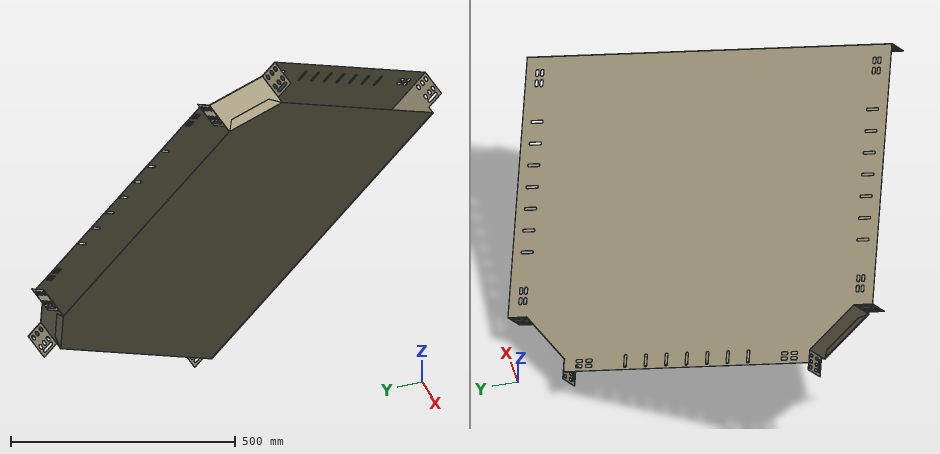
import cadquery as cq
import math

sheet = 1.0
tray_width = 601.0
flare = 100.0
tee_height = 82.0
tab_length = 45.0
tab_height = 65.0
branch_overhang = 30.0
lip_height = 24.0
lip_end_inset = 21.0

long_slot_count = 7
long_slot_pitch = tray_width / 12
long_slot_size = (30.0, 6.4)
long_slot_from_end = 36.0
short_slot_size = (16.0, 7.4)
short_slot_rows = (28.0, 40.0)
short_slots_from_side = (38.0, 61.0)

tab_hole_columns = (9.0, 22.0, 36.0)
tab_hole_rows = (-13.0, -42.0)
tab_hole_size = (12.0, 7.0)
tab_slot_size = (30.0, 7.4)
tab_slot_center = (23.0, -55.0)

roll = -21.74
pitch = -27.03
yaw = -18.54

half_width = tray_width / 2
wall_end_y = half_width + flare
tab_end_y = wall_end_y + tab_length
side_x = -tray_width
wall_end_x = side_x - flare
tab_end_x = wall_end_x - tab_length
mitre = sheet * math.sqrt(2)
wall_bottom = sheet - tee_height
cut_depth = 3 * sheet


def with_mirror(half):
    """Join a shape to its mirror image across the middle of the branch."""
    return half.union(half.mirror("XZ"))


def panel(points, top, bottom):
    """Flat-topped solid over an outline in the XY plane."""
    return cq.Workplane("XY").workplane(offset=bottom).polyline(points).close().extrude(top - bottom)


def floor_plate():
    """Floor with 45 degree flares; the branch end is trimmed shorter than its tabs."""
    floor_end_x = wall_end_x - branch_overhang
    side = [
        (0, -tab_end_y),
        (side_x, -tab_end_y),
        (side_x, -wall_end_y),
        (wall_end_x, -half_width),
        (floor_end_x, -half_width),
    ]
    other_side = [(x, -y) for x, y in reversed(side)]
    return panel(side + other_side, 0, -sheet)


def opening_slots():
    """Joint slots of one opening, whose free end lies on the X axis with the tray at +Y."""
    long_row = [
        ((i - (long_slot_count - 1) / 2) * long_slot_pitch, long_slot_from_end)
        for i in range(long_slot_count)
    ]
    short_grid = [
        (sign * (half_width - inset), row)
        for sign in (-1, 1)
        for inset in short_slots_from_side
        for row in short_slot_rows
    ]
    plane = cq.Workplane("XY").workplane(offset=-cut_depth / 2)
    long_slots = plane.pushPoints(long_row).slot2D(*long_slot_size, 90).extrude(cut_depth)
    short_slots = plane.pushPoints(short_grid).slot2D(*short_slot_size).extrude(cut_depth)
    return long_slots.add(short_slots).combine()


def joint_tab(corner, inward):
    """Drilled tab hanging from a free top corner, running inward to its wall end."""
    normal = cq.Vector(*inward).cross(cq.Vector(0, 0, 1))
    face = cq.Workplane(cq.Plane(origin=corner, xDir=inward, normal=normal))
    tab = face.rect(tab_length, -tab_height, centered=False).extrude(-sheet)
    upright = [(column, row) for column in tab_hole_columns for row in tab_hole_rows]
    holes = face.pushPoints(upright).slot2D(*tab_hole_size, 90).extrude(-sheet)
    slot = face.center(*tab_slot_center).slot2D(*tab_slot_size).extrude(-sheet)
    return tab.cut(holes).cut(slot)


def make_tray():
    back_wall = panel(
        [(0, -wall_end_y), (0, wall_end_y), (-sheet, wall_end_y), (-sheet, -wall_end_y)], 0, wall_bottom
    )
    flare_wall = panel(
        [
            (side_x, -wall_end_y),
            (wall_end_x, -half_width),
            (wall_end_x, -half_width + mitre),
            (side_x + mitre, -wall_end_y),
        ],
        0,
        wall_bottom,
    )
    back_tab = joint_tab((0, -tab_end_y, 0), (0, 1, 0))
    side_tab = joint_tab((side_x + sheet, -tab_end_y, 0), (0, 1, 0))
    branch_tab = joint_tab((tab_end_x, -half_width, 0), (1, 0, 0))
    half_sides = flare_wall.union(back_tab).union(side_tab).union(branch_tab)

    run_slots = with_mirror(opening_slots().translate((side_x / 2, -tab_end_y, 0)))
    branch_slots = opening_slots().rotate((0, 0, 0), (0, 0, 1), -90).translate((tab_end_x, 0, 0))

    slotted_floor = floor_plate().cut(run_slots).cut(branch_slots)
    return slotted_floor.union(back_wall).union(with_mirror(half_sides))


def lip(start, end):
    """Trapezoid lip on the outer face of a wall, along the wall foot from start to end.

    The wall lies to the left of the direction from start to end.
    """
    along = cq.Vector(*end) - cq.Vector(*start)
    outward = along.cross(cq.Vector(0, 0, 1))
    length = along.Length
    outline = [
        (0, 0),
        (length, 0),
        (length - lip_end_inset, lip_height),
        (lip_end_inset, lip_height),
    ]
    foot = cq.Workplane(cq.Plane(origin=start, xDir=along, normal=outward))
    return foot.polyline(outline).close().extrude(sheet)


def make_lid():
    """Lid plate reaching just past the walls, with a lip on each wall."""
    side = [
        (sheet, -wall_end_y),
        (side_x - mitre, -wall_end_y),
        (wall_end_x, -half_width - mitre),
    ]
    other_side = [(x, -y) for x, y in reversed(side)]
    plate = panel(side + other_side, wall_bottom, -tee_height)
    flare_lip = lip((wall_end_x, -half_width, -tee_height), (side_x, -wall_end_y, -tee_height))
    back_lip = lip((0, -wall_end_y, -tee_height), (0, wall_end_y, -tee_height))
    return plate.union(with_mirror(flare_lip)).union(back_lip)


def tilt(body):
    """Turn a body from its flat position into its final attitude."""
    origin = (0, 0, 0)
    body = body.rotate(origin, (1, 0, 0), roll)
    body = body.rotate(origin, (0, 1, 0), pitch)
    return body.rotate(origin, (0, 0, 1), yaw)


tray = tilt(make_tray())
lid = tilt(make_lid())
result = cq.Compound.makeCompound([tray.solids().val(), lid.solids().val()])